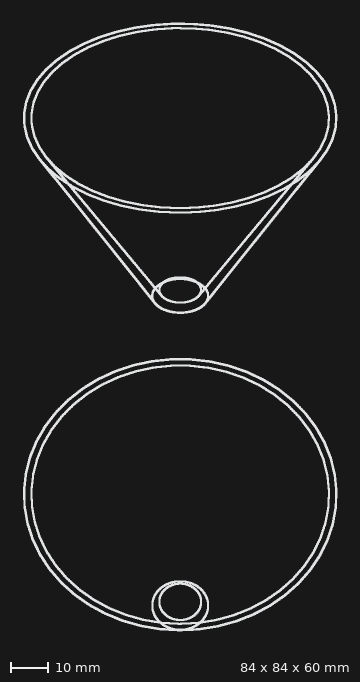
import cadquery as cq

height = 60.0
rim_diameter = 84.0
base_diameter = 15.0
rim_width = 2.0
floor_thickness = 2.0
floor_diameter = 11.25

rim_radius = rim_diameter / 2
base_radius = base_diameter / 2
cavity_rim_radius = rim_radius - rim_width
floor_radius = floor_diameter / 2

half_section = (
    cq.Workplane("XZ")
    .moveTo(0, 0)
    .lineTo(base_radius, 0)
    .lineTo(rim_radius, height)
    .lineTo(cavity_rim_radius, height)
    .lineTo(floor_radius, floor_thickness)
    .lineTo(0, floor_thickness)
    .close()
)

result = half_section.revolve(360, (0, 0, 0), (0, 1, 0))